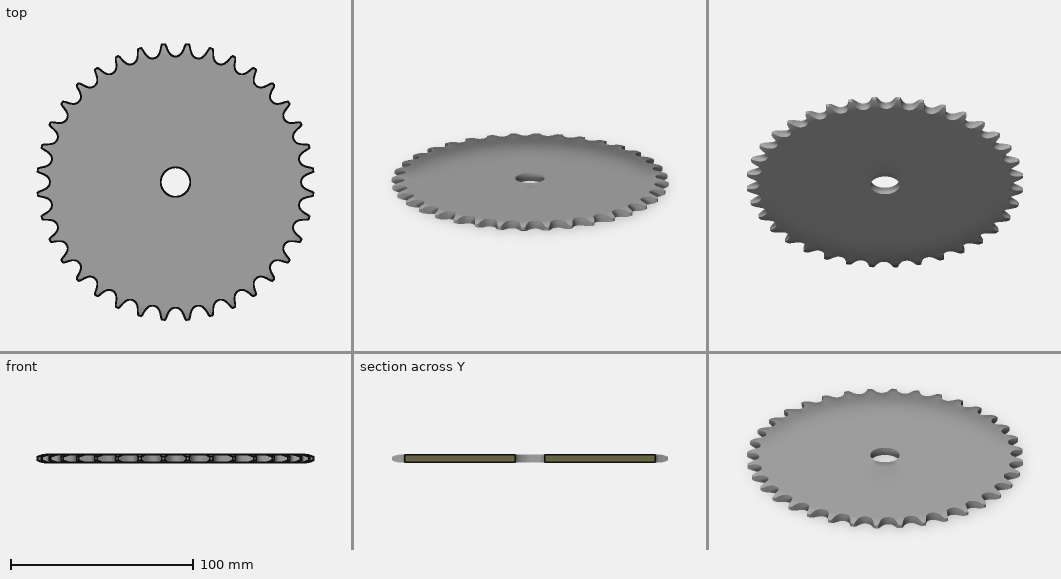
import cadquery as cq
import math

tooth_count = 36
thickness = 4.5
bore_diameter = 16.0
outer_diameter = 151.7

pitch_diameter = 145.7
seat_radius = 4.0
working_radius = 10.3
straight_length = 1.0
topping_radius = 6.5
seat_lean = math.radians(90 - (35 + 60 / tooth_count))
working_sweep = math.radians(18 - 56 / tooth_count)

relief_start_radius = 70.2
relief_radius = 12.7

pitch_radius = pitch_diameter / 2
outer_radius = outer_diameter / 2
tooth_step = 360 / tooth_count
cutter_top = outer_radius + 1.5


def on_arc(center, radius, angle):
    """Point on an arc; the angle is measured from straight down, toward +X."""
    return (center[0] + radius * math.sin(angle), center[1] - radius * math.cos(angle))


def mirrored(point):
    return (-point[0], point[1])


def blank():
    """Round disc whose rim is rounded off on both faces by a tangent arc."""
    half = thickness / 2
    arc_center_z = half - relief_radius

    def relief_point(radius):
        rise = math.sqrt(relief_radius**2 - (radius - relief_start_radius) ** 2)
        return radius, arc_center_z + rise

    mid_r, mid_z = relief_point((relief_start_radius + outer_radius) / 2)
    rim_r, rim_z = relief_point(outer_radius)
    return (
        cq.Workplane("XZ")
        .moveTo(0, -half)
        .lineTo(relief_start_radius, -half)
        .threePointArc((mid_r, -mid_z), (rim_r, -rim_z))
        .lineTo(rim_r, rim_z)
        .threePointArc((mid_r, mid_z), (relief_start_radius, half))
        .lineTo(0, half)
        .close()
        .revolve(360, (0, 0, 0), (0, 1, 0))
    )


def gap_cutter():
    """Symmetric tooth gap centred on +Y: seat, working arc, straight flank and topping arc."""
    seat_center = (0, pitch_radius)
    seat_bottom = on_arc(seat_center, seat_radius, 0)
    seat_end = on_arc(seat_center, seat_radius, seat_lean)

    working_center = on_arc(seat_center, seat_radius - working_radius, seat_lean)
    flank_angle = seat_lean + working_sweep
    working_mid = on_arc(working_center, working_radius, seat_lean + working_sweep / 2)
    working_end = on_arc(working_center, working_radius, flank_angle)

    straight_end = (
        working_end[0] + straight_length * math.cos(flank_angle),
        working_end[1] + straight_length * math.sin(flank_angle),
    )

    topping_center = on_arc(straight_end, topping_radius, flank_angle)
    end_angle = math.acos((cutter_top - topping_center[1]) / topping_radius)
    mid_angle = (flank_angle + end_angle) / 2
    topping_mid = on_arc(topping_center, -topping_radius, mid_angle)
    topping_end = on_arc(topping_center, -topping_radius, end_angle)

    return (
        cq.Workplane("XY")
        .workplane(offset=-thickness)
        .moveTo(*mirrored(seat_end))
        .threePointArc(seat_bottom, seat_end)
        .threePointArc(working_mid, working_end)
        .lineTo(*straight_end)
        .threePointArc(topping_mid, topping_end)
        .lineTo(*mirrored(topping_end))
        .threePointArc(mirrored(topping_mid), mirrored(straight_end))
        .lineTo(*mirrored(working_end))
        .threePointArc(mirrored(working_mid), mirrored(seat_end))
        .close()
        .extrude(2 * thickness)
    )


def all_gaps():
    cutter = gap_cutter().val()
    return [cutter.rotate((0, 0, 0), (0, 0, 1), index * tooth_step) for index in range(tooth_count)]


def bore():
    return cq.Workplane("XY").circle(bore_diameter / 2).extrude(thickness, both=True)


sprocket = blank().cut(bore()).val().cut(*all_gaps())
result = cq.Workplane("XY").add(sprocket.Solids())